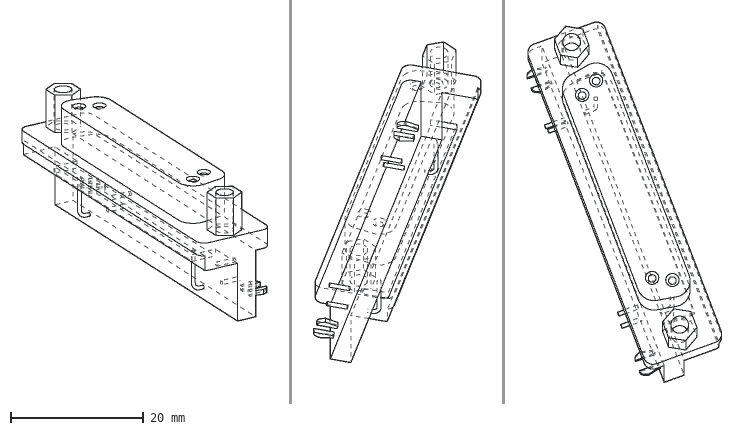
import cadquery as cq
import math


LENGTH = 53.1
FLANGE_FRONT = -6.05
FLANGE_BACK = 6.35
FLANGE_DEPTH = 3.1
LIP_DEPTH = 2.1
BLOCK_FRONT = -5.25
BLOCK_DEPTH = 4.5
CORNER_RADIUS = 1.45
WALL_FRONT = 0.4
WALL_BACK = 3.65
WALL_DEPTH = 14.0

STEP_LENGTH = 40.15
STEP_FRONT = -3.65
STEP_THICKNESS = 1.1

MATING_HEIGHT = 6.15
SHROUD_WIDTH = 8.0
SHROUD_LENGTH = 38.55
SHROUD_RADIUS = 2.55
SHROUD_SLANT = 10.0

STANDOFF_X = 23.45
STANDOFF_FLATS = 4.55
STANDOFF_HOLE = 2.65

FRONT_ROW_X = 16.55
BACK_ROW_X = 15.2
ROW_Y = 1.4
SOCKET_FLOOR = 1.15
SOCKET_MOUTH = 2.0
SOCKET_DEPTH = 0.35

PIN_DIAMETER = 0.65
PIN_TIP_Y = 6.85
BACK_PIN_Z = -9.45
FRONT_PIN_Z = -12.0
WIRE_DIAMETER = 0.6
WIRE_Y = -1.35
BEND_RADIUS = 1.1

LOCK_THICKNESS = 0.8
LOCK_Z = -10.85
LOCK_GAP = 1.7
LOCK_ROOT = 0.6
LOCK_BARB = 1.0
LOCK_SHOULDER = 0.75
LOCK_ROOT_LENGTH = 0.25
LOCK_BARB_LENGTH = 2.05
LOCK_SHOULDER_LENGTH = 2.7


def box(length, y_front, y_back, z_bottom, z_top):
    """Box centred on X = 0 between the given Y and Z limits."""
    return (
        cq.Workplane("XY", origin=(0, (y_front + y_back) / 2, z_bottom))
        .rect(length, y_back - y_front)
        .extrude(z_top - z_bottom)
    )


def make_body():
    head = box(LENGTH, FLANGE_FRONT, FLANGE_BACK, -BLOCK_DEPTH, 0).edges("|Z").fillet(CORNER_RADIUS)
    under_lip = box(LENGTH, FLANGE_FRONT, BLOCK_FRONT, -BLOCK_DEPTH, -LIP_DEPTH)
    under_flange = box(LENGTH, WALL_BACK, FLANGE_BACK, -BLOCK_DEPTH, -FLANGE_DEPTH)
    wall = box(LENGTH, WALL_FRONT, WALL_BACK, -WALL_DEPTH, 0)
    step = box(STEP_LENGTH, STEP_FRONT, WALL_FRONT, -BLOCK_DEPTH - STEP_THICKNESS, -BLOCK_DEPTH)
    return head.cut(under_lip).cut(under_flange).union(wall).union(step)


def make_shroud():
    """D-shaped prism, wider along its front side."""
    slant = math.radians(SHROUD_SLANT)
    half_width = SHROUD_WIDTH / 2
    corner_setback = SHROUD_RADIUS * math.tan((math.pi / 2 + slant) / 2)
    front_x = SHROUD_LENGTH / 2 - SHROUD_RADIUS + corner_setback
    back_x = front_x - SHROUD_WIDTH * math.tan(slant)
    return (
        cq.Workplane("XY")
        .polyline([
            (-front_x, -half_width),
            (front_x, -half_width),
            (back_x, half_width),
            (-back_x, half_width),
        ])
        .close()
        .extrude(MATING_HEIGHT)
        .edges("|Z")
        .fillet(SHROUD_RADIUS)
    )


def make_standoff(x):
    corner_diameter = STANDOFF_FLATS / math.cos(math.pi / 6)
    return (
        cq.Workplane("XY", origin=(x, 0, 0))
        .polygon(6, corner_diameter)
        .circle(STANDOFF_HOLE / 2)
        .extrude(MATING_HEIGHT)
    )


def make_socket(x, y):
    """Cutter for one contact opening: a shallow cone with a flat floor."""
    floor_radius = SOCKET_FLOOR / 2
    mouth_radius = SOCKET_MOUTH / 2
    return (
        cq.Workplane("XZ", origin=(x, y, MATING_HEIGHT))
        .polyline([
            (0, 0),
            (mouth_radius, 0),
            (floor_radius, -SOCKET_DEPTH),
            (0, -SOCKET_DEPTH),
        ])
        .close()
        .revolve(360, (0, 0), (0, 1))
    )


def make_pin(x, z):
    """Straight solder pin leaving the back of the wall."""
    return (
        cq.Workplane("XZ", origin=(x, WALL_FRONT, z))
        .circle(PIN_DIAMETER / 2)
        .extrude(-(PIN_TIP_Y - WALL_FRONT))
    )


def make_bent_wire(x):
    """Wire dropping from the block on the front row and bending back into the wall."""
    bend = BEND_RADIUS * (1 - math.sqrt(0.5))
    path = (
        cq.Workplane("YZ", origin=(x, 0, 0))
        .moveTo(WIRE_Y, -BLOCK_DEPTH)
        .lineTo(WIRE_Y, FRONT_PIN_Z + BEND_RADIUS)
        .threePointArc((WIRE_Y + bend, FRONT_PIN_Z + bend), (WIRE_Y + BEND_RADIUS, FRONT_PIN_Z))
        .lineTo((WALL_FRONT + WALL_BACK) / 2, FRONT_PIN_Z)
    )
    return (
        cq.Workplane("XY", origin=(x, WIRE_Y, -BLOCK_DEPTH))
        .circle(WIRE_DIAMETER / 2)
        .sweep(path)
    )


def make_lock_leg(x, side):
    """One barbed leg of a board lock at x; side is -1 or +1 for the direction of its barb."""
    inner = LOCK_GAP / 2

    def at(width):
        return x + side * (inner + width)

    return (
        cq.Workplane("XY", origin=(0, 0, LOCK_Z - LOCK_THICKNESS / 2))
        .moveTo(at(0), WALL_FRONT)
        .lineTo(at(LOCK_ROOT), WALL_FRONT)
        .lineTo(at(LOCK_ROOT), WALL_BACK + LOCK_ROOT_LENGTH)
        .lineTo(at(LOCK_BARB), WALL_BACK + LOCK_BARB_LENGTH)
        .lineTo(at(LOCK_SHOULDER), WALL_BACK + LOCK_SHOULDER_LENGTH)
        .tangentArcPoint((at(0), PIN_TIP_Y), relative=False)
        .close()
        .extrude(LOCK_THICKNESS)
    )


result = make_body().union(make_shroud())
for end in (-1, 1):
    standoff_x = end * STANDOFF_X
    front_x = end * FRONT_ROW_X
    back_x = end * BACK_ROW_X

    result = result.union(make_standoff(standoff_x))
    for barb_side in (-1, 1):
        result = result.union(make_lock_leg(standoff_x, barb_side))

    result = result.cut(make_socket(front_x, -ROW_Y)).cut(make_socket(back_x, ROW_Y))
    result = result.union(make_pin(front_x, FRONT_PIN_Z)).union(make_pin(back_x, BACK_PIN_Z))
    result = result.union(make_bent_wire(front_x))